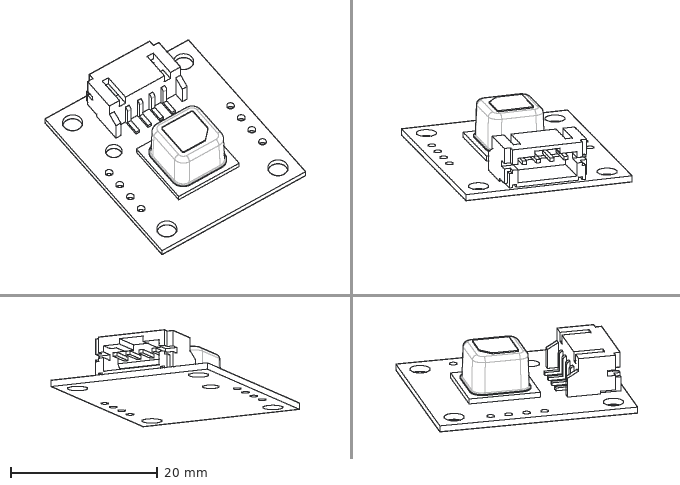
import cadquery as cq
import math


BOARD_LENGTH = 28.0
BOARD_WIDTH = 24.0
BOARD_THICKNESS = 0.9
BOARD_LEFT = -BOARD_LENGTH / 2

MOUNT_HOLE_DIAMETER = 2.75
MOUNT_HOLE_SPACING_X = 22.55
MOUNT_HOLE_SPACING_Y = 18.55

PAD_HOLE_DIAMETER = 1.05
PAD_HOLE_COUNT = 4
PAD_HOLE_PITCH = 2.55
PAD_ROW_SPACING = 20.3
PAD_ROW_CENTER_X = 2.52

LOCATING_HOLE_DIAMETER = 2.25
LOCATING_HOLE_X = -4.0
LOCATING_HOLE_Y = -7.48

HOUSING_FRONT = BOARD_LEFT + 0.67
HOUSING_WIDTH = 11.9
HOUSING_TOP = 6.38
HOUSING_LENGTH = 6.1
CORNER_STEP = 0.9
EAR_LENGTH = 1.57
EAR_WIDTH = 0.8
EAR_HEIGHT = 3.67
EAR_SLOPE_TOP = 4.55
HOUSING_BACK = HOUSING_FRONT + HOUSING_LENGTH

CAVITY_WIDTH = 8.5
CAVITY_FLOOR = 1.5
CAVITY_ROOF = 5.07
CAVITY_DEPTH = 4.3
CAVITY_UNDERCUT = 0.6
UNDERCUT_LOW = 2.83
UNDERCUT_HIGH = 3.42
KEYWAY_WIDTH = 3.65
KEYWAY_ROOF = 5.82

LATCH_NOTCH_DEPTH = 2.02
LATCH_NOTCH_LOW = 3.42
LATCH_NOTCH_HIGH = 4.2

ROOF_SLOT_START = 2.0
ROOF_SLOT_WIDTH = 1.0

TAB_THICKNESS = 0.45
TAB_HEIGHT = 2.07
TAB_RECESS_LENGTH = 3.0
TAB_RECESS_WIDTH = 1.45
TAB_RECESS_HEIGHT = 0.4

PIN_COUNT = 4
PIN_PITCH = 2.0
PIN_WIDTH = 0.6
PIN_THICKNESS = 0.5
PIN_START = 0.98
PIN_TOP = 4.2
PIN_FOOT_LENGTH = 2.55
PIN_FOOT_THICKNESS = 0.42
PIN_BEND_RADIUS = 0.45

SENSOR_X = 3.0
SENSOR_BASE_SIZE = 10.1
SENSOR_BASE_TOP = 1.62
FLANGE_SIZE = 8.62
FLANGE_THICKNESS = 0.15
CAN_BOTTOM_SIZE = 8.1
CAN_TOP_SIZE = 7.8
CAN_TOP = 6.95
CAN_CORNER_RADIUS = 1.45
CAN_TOP_FILLET = 0.67
CAN_FOOT_FILLET = 0.15
LABEL_SIZE = 5.25
LABEL_TOP = 7.1
LABEL_CHAMFER = 1.5
LABEL_CORNER_RADIUS = 0.22


def block(x_min, x_max, width, z_min, z_max, y_center=0.0):
    """Box given by its X and Z limits, centred on y_center."""
    box = cq.Workplane("XY").box(x_max - x_min, width, z_max - z_min, centered=(False, True, False))
    return box.translate((x_min, y_center, z_min))


def extrude_profile(points, width, y_center=0.0):
    """Closed XZ outline extruded along Y, centred on y_center."""
    solid = cq.Workplane("XZ").polyline(points).close().extrude(width / 2, both=True)
    return solid.translate((0, y_center, 0))


def make_board():
    board = block(BOARD_LEFT, -BOARD_LEFT, BOARD_WIDTH, 0, BOARD_THICKNESS)
    top_center = (0, 0, BOARD_THICKNESS)
    top = board.faces(">Z").workplane(origin=top_center)
    board = top.rarray(MOUNT_HOLE_SPACING_X, MOUNT_HOLE_SPACING_Y, 2, 2).hole(MOUNT_HOLE_DIAMETER)
    top = board.faces(">Z").workplane(origin=top_center).center(PAD_ROW_CENTER_X, 0)
    board = top.rarray(PAD_HOLE_PITCH, PAD_ROW_SPACING, PAD_HOLE_COUNT, 2).hole(PAD_HOLE_DIAMETER)
    top = board.faces(">Z").workplane(origin=top_center).center(LOCATING_HOLE_X, LOCATING_HOLE_Y)
    return top.hole(LOCATING_HOLE_DIAMETER)


def make_ear(side):
    ear_back = HOUSING_BACK + EAR_LENGTH
    profile = [
        (HOUSING_BACK, BOARD_THICKNESS),
        (ear_back, BOARD_THICKNESS),
        (ear_back, EAR_HEIGHT),
        (HOUSING_BACK, EAR_SLOPE_TOP),
    ]
    return extrude_profile(profile, EAR_WIDTH, side * (HOUSING_WIDTH - EAR_WIDTH) / 2)


def make_cavity():
    pin_wall = HOUSING_FRONT + CAVITY_DEPTH
    undercut_wall = pin_wall + CAVITY_UNDERCUT
    profile = [
        (HOUSING_FRONT, CAVITY_FLOOR),
        (undercut_wall, CAVITY_FLOOR),
        (undercut_wall, UNDERCUT_LOW),
        (pin_wall, UNDERCUT_HIGH),
        (pin_wall, CAVITY_ROOF),
        (HOUSING_FRONT, CAVITY_ROOF),
    ]
    keyway = block(HOUSING_FRONT, pin_wall, KEYWAY_WIDTH, CAVITY_FLOOR, KEYWAY_ROOF)
    return extrude_profile(profile, CAVITY_WIDTH).union(keyway)


def make_housing():
    housing = block(HOUSING_FRONT, HOUSING_BACK, HOUSING_WIDTH, BOARD_THICKNESS, HOUSING_TOP)
    housing = housing.cut(make_cavity())
    notch_end = HOUSING_FRONT + LATCH_NOTCH_DEPTH
    housing = housing.cut(
        block(HOUSING_FRONT, notch_end, HOUSING_WIDTH, LATCH_NOTCH_LOW, LATCH_NOTCH_HIGH)
    )
    recess_end = HOUSING_FRONT + TAB_RECESS_LENGTH
    recess_top = BOARD_THICKNESS + TAB_RECESS_HEIGHT
    step_end = HOUSING_FRONT + CORNER_STEP
    slot_start = HOUSING_FRONT + ROOF_SLOT_START
    tab_top = BOARD_THICKNESS + TAB_HEIGHT
    for side in (-1, 1):
        outer_y = side * HOUSING_WIDTH / 2
        housing = housing.cut(
            block(HOUSING_FRONT, step_end, 2 * CORNER_STEP, BOARD_THICKNESS, HOUSING_TOP, outer_y)
        )
        recess_y = outer_y - side * TAB_RECESS_WIDTH / 2
        housing = housing.cut(
            block(HOUSING_FRONT, recess_end, TAB_RECESS_WIDTH, BOARD_THICKNESS, recess_top, recess_y)
        )
        slot_y = side * (CAVITY_WIDTH - ROOF_SLOT_WIDTH) / 2
        housing = housing.cut(
            block(slot_start, HOUSING_BACK, ROOF_SLOT_WIDTH, CAVITY_ROOF, HOUSING_TOP, slot_y)
        )
        tab_y = outer_y - side * (CORNER_STEP - TAB_THICKNESS / 2)
        tab = block(HOUSING_FRONT, recess_end, TAB_THICKNESS, BOARD_THICKNESS, tab_top, tab_y)
        housing = housing.union(tab).union(make_ear(side))
    return housing


def make_pin(y_center):
    """Pin that runs out through the back wall, turns down and ends in a foot on the board."""
    tip = HOUSING_FRONT + PIN_START
    leg_back = HOUSING_BACK + PIN_THICKNESS
    foot_end = HOUSING_BACK + PIN_FOOT_LENGTH
    foot_top = BOARD_THICKNESS + PIN_FOOT_THICKNESS
    pin = block(tip, leg_back, PIN_WIDTH, PIN_TOP - PIN_THICKNESS, PIN_TOP, y_center)
    pin = pin.union(block(HOUSING_BACK, leg_back, PIN_WIDTH, BOARD_THICKNESS, PIN_TOP, y_center))
    pin = pin.edges(">X and >Z").fillet(PIN_BEND_RADIUS)
    return pin.union(block(HOUSING_BACK, foot_end, PIN_WIDTH, BOARD_THICKNESS, foot_top, y_center))


def make_sensor():
    """Square base, flanged can with tapered walls and rounded top, chamfered label plate."""
    half_base = SENSOR_BASE_SIZE / 2
    base = block(-half_base, half_base, SENSOR_BASE_SIZE, BOARD_THICKNESS, SENSOR_BASE_TOP)

    flange_overhang = (FLANGE_SIZE - CAN_BOTTOM_SIZE) / 2
    flange = (
        cq.Workplane("XY")
        .rect(FLANGE_SIZE, FLANGE_SIZE)
        .extrude(FLANGE_THICKNESS)
        .edges("|Z")
        .fillet(CAN_CORNER_RADIUS + flange_overhang)
    )
    can_height = CAN_TOP - SENSOR_BASE_TOP
    wall_taper = math.degrees(math.atan((CAN_BOTTOM_SIZE - CAN_TOP_SIZE) / 2 / can_height))
    can = cq.Workplane("XY").rect(CAN_BOTTOM_SIZE, CAN_BOTTOM_SIZE).extrude(can_height, taper=wall_taper)
    can = can.edges("not #Z").fillet(CAN_CORNER_RADIUS)
    can = can.faces(">Z").edges().fillet(CAN_TOP_FILLET)
    can = can.union(flange)
    reach = CAN_BOTTOM_SIZE / 2
    foot_box = cq.selectors.BoxSelector(
        (-reach, -reach, FLANGE_THICKNESS / 2),
        (reach, reach, 3 * FLANGE_THICKNESS / 2),
        boundingbox=True,
    )
    can = can.edges(foot_box).fillet(CAN_FOOT_FILLET)
    can = can.translate((0, 0, SENSOR_BASE_TOP))

    label = cq.Workplane("XY").workplane(offset=CAN_TOP).rect(LABEL_SIZE, LABEL_SIZE)
    label = label.extrude(LABEL_TOP - CAN_TOP)
    label = label.edges("|Z and (<X or <Y)").fillet(LABEL_CORNER_RADIUS)
    label = label.edges("|Z and >(1, 1, 0)").chamfer(LABEL_CHAMFER)
    return base.union(can).union(label).translate((SENSOR_X, 0, 0))


result = make_board().union(make_housing())
for pin_index in range(PIN_COUNT):
    result = result.union(make_pin((pin_index - (PIN_COUNT - 1) / 2) * PIN_PITCH))
result = result.union(make_sensor())